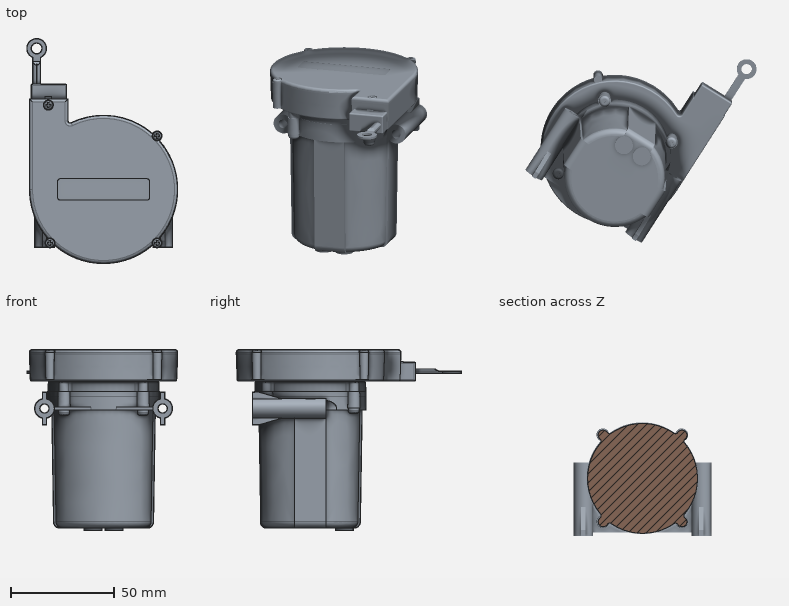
import cadquery as cq
import math


overall_x = 72.92
overall_y = 108.72
joint_overlap = 2.0

housing_radius = 35.83
housing_bottom = -15.2
cover_bottom = -2.2
cover_fillet = 1.5
base_draft = 2.0
base_fillet = 0.7
duct_left = -housing_radius
duct_right = -17.1
duct_end = 43.75
throat_radius = 1.0

label_length = 44.4
label_width = 10.4
label_corner = 1.3
label_depth = 0.1

box_left = -35.05
box_right = -17.8
box_end = 50.85
box_top = -6.05
box_fillet = 0.7
nub_width = 3.2
nub_length = 1.1
nub_height = 0.4

eye_diameter = 9.53
eye_x = housing_radius - overall_x + eye_diameter / 2
eye_y = overall_y - housing_radius - eye_diameter / 2
eye_hole = 5.08
terminal_top = -10.45
terminal_thickness = 1.0
terminal_width = 3.8
crimp_height = 1.15
crimp_end = 61.9
crimp_ramp = 1.8
seam_width = 0.15
seam_depth = 0.3

screw_offset = 25.9
duct_screw = (-26.65, 40.75)
rim_screws = [
    (screw_offset, screw_offset),
    (screw_offset, -screw_offset),
    (-screw_offset, -screw_offset),
]
screw_seat_diameter = 4.78
screw_seat_depth = 1.5
screw_head_diameter = 4.32
screw_head_height = 1.4
screw_post_top_diameter = 4.6
screw_post_bottom_diameter = 4.01
screw_post_bottom = housing_bottom + base_fillet
cross_width = 0.75
cross_length = 2.5
cross_depth = 0.6

neck_radius = 26.0
flange_top = -15.7
flange_top_radius = 26.7
flange_bottom_radius = 26.8
flange_fillet = 0.5
flange_post_diameter = 5.08
flange_post_fillet = 1.2
ring_top = -20.2
ring_break = -22.7
ring_bottom = -29.2
ring_top_radius = 27.0
ring_bottom_radius = 26.9
motor_screw_x = 19.05
motor_screw_y = 20.95
back_post_bottom = -28.2
ring_post_top_diameter = 5.77
ring_post_bottom_diameter = 6.2
motor_head_diameter = 5.38
motor_head_height = 2.6

can_top_radius = 50.09 / 2
can_bottom_radius = 48.26 / 2
can_bottom = -86.3
can_fillet = 3.2
rib_width = 15.2
foot_diameter = 8.71
foot_x = 5.1
foot_y = 16.4
foot_bottom = -87.45

tube_x = 28.55
tube_z = -28.45
tube_diameter = 9.53
tube_hole = 4.32
tube_front = -28.0
tube_back = rib_width / 2
relief_back = 16.0
fin_width = 2.1
fin_reach = 7.95
fin_flat_start = -25.0
fin_slope_start = -14.0
web_thickness = 1.45
web_inner_x = 5.85
web_front = -26.2
web_back = -10.0


def cylinder(diameter, center, bottom, top):
    """Vertical cylinder between two heights."""
    disc = cq.Workplane("XY", origin=(center[0], center[1], bottom)).circle(diameter / 2)
    return disc.extrude(top - bottom)


def tapered_post(bottom_diameter, top_diameter, bottom, top):
    """Vertical cone on the Z axis between two heights."""
    return (
        cq.Workplane("XY", origin=(0, 0, bottom))
        .circle(bottom_diameter / 2)
        .workplane(offset=top - bottom)
        .circle(top_diameter / 2)
        .loft()
    )


def block(x_range, y_range, z_range):
    """Box between the given limits."""
    corner = (x_range[0], y_range[0], z_range[0])
    size = (x_range[1] - x_range[0], y_range[1] - y_range[0], z_range[1] - z_range[0])
    return cq.Workplane("XY").box(*size, centered=False).translate(corner)


def housing_outline(height):
    """Snail outline: round body with a duct tangent to its -X side."""
    throat_x = duct_right + throat_radius
    center_distance = housing_radius + throat_radius
    throat_y = math.sqrt(center_distance**2 - throat_x**2)
    ratio = housing_radius / center_distance
    body_start = (throat_x * ratio, throat_y * ratio)
    middle_angle = (math.pi + math.atan2(-throat_y, -throat_x) % (2 * math.pi)) / 2
    throat_middle = (
        throat_x + throat_radius * math.cos(middle_angle),
        throat_y + throat_radius * math.sin(middle_angle),
    )
    far_point = housing_radius * math.sqrt(0.5)
    return (
        cq.Workplane("XY", origin=(0, 0, height))
        .moveTo(duct_left, 0)
        .lineTo(duct_left, duct_end)
        .lineTo(duct_right, duct_end)
        .lineTo(duct_right, throat_y)
        .threePointArc(throat_middle, body_start)
        .threePointArc((far_point, -far_point), (duct_left, 0))
        .close()
    )


def fan_housing():
    cover = housing_outline(cover_bottom).extrude(-cover_bottom)
    cover = cover.faces(">Z").edges().fillet(cover_fillet)
    base = housing_outline(cover_bottom).extrude(housing_bottom - cover_bottom, taper=base_draft)
    base = base.faces("<Z").edges().fillet(base_fillet)
    label = (
        cq.Workplane("XY", origin=(0, 0, -label_depth))
        .rect(label_length, label_width)
        .extrude(label_depth)
        .edges("|Z")
        .fillet(label_corner)
    )
    return cover.union(base).cut(label)


def outlet_box():
    box = block((box_left, box_right), (duct_end - joint_overlap, box_end), (housing_bottom, box_top))
    box = box.faces(">Y or >Z or <Z").edges("not(<Y)").fillet(box_fillet)
    nub_x = duct_screw[0]
    nub = block(
        (nub_x - nub_width / 2, nub_x + nub_width / 2),
        (duct_end - joint_overlap, duct_end + nub_length),
        (box_top - nub_height, box_top + nub_height),
    )
    return box.union(nub)


def eye_terminal():
    plate_bottom = terminal_top - terminal_thickness
    half_width = terminal_width / 2
    crimp_start = box_end - joint_overlap
    strip = block(
        (eye_x - half_width, eye_x + half_width),
        (crimp_start, eye_y),
        (plate_bottom, terminal_top),
    )
    eye = cylinder(eye_diameter, (eye_x, eye_y), plate_bottom, terminal_top)
    hole = cylinder(eye_hole, (eye_x, eye_y), plate_bottom, terminal_top)
    terminal = strip.union(eye).cut(hole)

    arch = (
        cq.Workplane("XZ", origin=(eye_x, crimp_end, terminal_top))
        .moveTo(-half_width, 0)
        .threePointArc((0, crimp_height), (half_width, 0))
        .close()
        .extrude(crimp_end - crimp_start)
    )
    side_profile = (
        cq.Workplane("YZ", origin=(eye_x - half_width, 0, terminal_top))
        .moveTo(crimp_start, 0)
        .lineTo(crimp_end, 0)
        .lineTo(crimp_end - crimp_ramp, crimp_height)
        .lineTo(crimp_start, crimp_height)
        .close()
        .extrude(terminal_width)
    )
    seam_top = terminal_top + crimp_height
    seam = block(
        (eye_x - seam_width / 2, eye_x + seam_width / 2),
        (box_end + seam_width, crimp_end),
        (seam_top - seam_depth, seam_top),
    )
    return terminal.union(arch.intersect(side_profile).cut(seam))


def screw_head(diameter, height):
    """Domed head standing on Z = 0, with a cross recess on top."""
    head = cylinder(diameter, (0, 0), 0, height).faces(">Z").edges().fillet(height / 2)
    for size in ((cross_length, cross_width), (cross_width, cross_length)):
        slot = cq.Workplane("XY", origin=(0, 0, height - cross_depth)).rect(*size).extrude(cross_depth)
        head = head.cut(slot)
    return head


def add_cover_screws(body):
    post = tapered_post(
        screw_post_bottom_diameter, screw_post_top_diameter, screw_post_bottom, -screw_seat_depth
    )
    for center in rim_screws:
        body = body.union(post.translate(center))
    head = screw_head(screw_head_diameter, screw_head_height)
    for center in rim_screws + [duct_screw]:
        body = body.cut(cylinder(screw_seat_diameter, center, -screw_seat_depth, 0))
        body = body.union(head.translate((center[0], center[1], -screw_seat_depth)))
    return body


def motor_screw_centers():
    return [(sx * motor_screw_x, sy * motor_screw_y) for sx in (-1, 1) for sy in (-1, 1)]


def motor_flange():
    neck = cylinder(2 * neck_radius, (0, 0), flange_top, housing_bottom)
    flange = (
        cq.Workplane("XZ")
        .moveTo(0, flange_top)
        .lineTo(flange_top_radius, flange_top)
        .lineTo(flange_bottom_radius, ring_top)
        .lineTo(0, ring_top)
        .close()
        .revolve(360, (0, 0), (0, 1))
    )
    for center in motor_screw_centers():
        flange = flange.union(cylinder(flange_post_diameter, center, ring_top, flange_top))
        reach = flange_post_diameter / 2 + flange_post_fillet
        corner = cq.selectors.BoxSelector(
            (center[0] - reach, center[1] - reach, flange_top),
            (center[0] + reach, center[1] + reach, ring_top),
        )
        flange = flange.edges(corner).edges("%BSPLINE").fillet(flange_post_fillet)
    flange = flange.faces(">Z").edges().fillet(flange_fillet)
    return flange.union(neck)


def motor_ring():
    ring = (
        cq.Workplane("XZ")
        .moveTo(0, ring_top)
        .lineTo(ring_top_radius, ring_top)
        .lineTo(ring_top_radius, ring_break)
        .lineTo(ring_bottom_radius, ring_bottom)
        .lineTo(0, ring_bottom)
        .close()
        .revolve(360, (0, 0), (0, 1))
    )
    head = screw_head(motor_head_diameter, motor_head_height).rotate((0, 0, 0), (1, 0, 0), 180)
    for center in motor_screw_centers():
        post_bottom = back_post_bottom if center[1] > 0 else ring_bottom
        post = tapered_post(ring_post_bottom_diameter, ring_post_top_diameter, post_bottom, ring_top)
        ring = ring.union(post.translate(center))
        ring = ring.union(head.translate((center[0], center[1], post_bottom)))
    return ring


def can_profile():
    """Tapered half profile of the can, from the motor axis out to its wall."""
    return (
        cq.Workplane("XZ")
        .moveTo(0, ring_bottom)
        .lineTo(can_top_radius, ring_bottom)
        .lineTo(can_bottom_radius, can_bottom)
        .lineTo(0, can_bottom)
        .close()
    )


def motor_can():
    can = can_profile().revolve(360, (0, 0), (0, 1))
    can = can.faces("<Z").edges().fillet(can_fillet)
    rib = can_profile().extrude(rib_width / 2, both=True)
    rib = rib.faces("<Z").edges(">X").fillet(can_fillet)
    for angle in (0, 90, 180):
        can = can.union(rib.rotate((0, 0, 0), (0, 0, 1), angle))
    for x in (-foot_x, foot_x):
        can = can.union(cylinder(foot_diameter, (x, foot_y), foot_bottom, can_bottom))
    return can


def tube_cylinder(side, diameter, front, back):
    disc = cq.Workplane("XZ", origin=(side * tube_x, back, tube_z)).circle(diameter / 2)
    return disc.extrude(back - front)


def tube_fins(side):
    """Upper and lower fins, sloping up from the tube to its front end."""
    tube_radius = tube_diameter / 2
    return (
        cq.Workplane("YZ", origin=(side * tube_x - fin_width / 2, 0, tube_z))
        .moveTo(tube_front, -fin_reach)
        .lineTo(fin_flat_start, -fin_reach)
        .lineTo(fin_slope_start, -tube_radius)
        .lineTo(fin_slope_start, tube_radius)
        .lineTo(fin_flat_start, fin_reach)
        .lineTo(tube_front, fin_reach)
        .close()
        .extrude(fin_width)
    )


def add_mounting_tubes(body):
    for side in (-1, 1):
        web_x = sorted((side * web_inner_x, side * tube_x))
        web = block(web_x, (web_front, web_back), (ring_bottom, ring_bottom + web_thickness))
        body = body.cut(tube_cylinder(side, tube_diameter, tube_back, relief_back))
        body = body.union(web)
        body = body.union(tube_cylinder(side, tube_diameter, tube_front, tube_back))
        body = body.union(tube_fins(side))
        body = body.cut(tube_cylinder(side, tube_hole, tube_front, tube_back))
    return body


fan = add_cover_screws(fan_housing().union(outlet_box()).union(eye_terminal()))
motor = add_mounting_tubes(motor_flange().union(motor_ring()).union(motor_can()))
result = fan.union(motor)